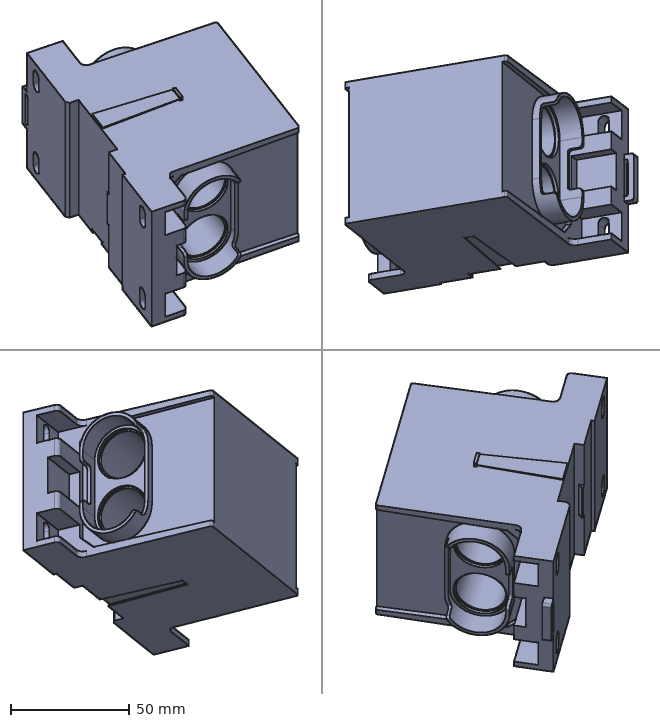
import cadquery as cq
import math


base_half_x = 56.9
base_half_z = 64.9 / 2
base_height = 17.0
base_corner_radius = 2.0

total_height = 80.5
housing_half_x_low = 38.3
housing_half_x_high = 37.8
housing_half_z_high = 32.0
housing_top_radius = 1.1
root_radius = 3.1

channel_x_left = -20.5
channel_x_right = 15.0
channel_depth = 5.5
channel_chamfer = 1.4
relief_x_right = 30.3
relief_depth = 1.4
catch_reach = 1.5
catch_top = 3.8
catch_tip = 2.1
catch_half_z = 8.9

wall_recess = 2.6
recess_half_z_high = 29.3
recess_half_z_low = 28.5
recess_corner_y = 6.7
recess_corner_half_z = 22.3

slot_x = 48.5
slot_z = 23.0
slot_width = 5.0
slot_length = 11.0
floor_thickness = 6.6
clearance_width_z = 13.0
notch_half_z = 8.4
notch_depth = 5.1

entry_y = 35.8
entry_z = 13.5
entry_offset_z = 0.2
collar_radius = 14.7
rim_radius = 13.0
entry_half_x = 46.0
collar_height = 1.0
rim_end_angle = 29
rim_end_radius = 1.4
rim_gap_half_z = 9.2
rim_gap_radius = 1.7
counterbore_radius = 11.6
counterbore_depth = 1.4
bore_radius = 10.8

screw_radius = 7.7
screw_shoulder_y = 41.4
screw_tip_y = 36.7

dovetail_x = -3.5
rib_start_y = 5.8
dovetail_end_y = 44.6
dovetail_wide_start = 9.8
dovetail_wide_end = 6.5
dovetail_undercut = 1.3
dovetail_height = 1.4
ridge_length = 1.3
ridge_height = 1.7
groove_depth = 1.5

tab_reach = 4.5
tab_half_z = 21.2 / 2
tab_thickness = 4.0
tab_radius = 1.2
tab_overlap = 0.6
tab_slot_offset = 2.8
tab_slot_width = 2.4
tab_slot_length = 16.8

wall_slope = (housing_half_x_low - housing_half_x_high) / (total_height - base_height)
collar_half_x = housing_half_x_low + collar_height
recessed_half_x = housing_half_x_low - wall_recess


def box(x0, x1, y0, y1, z0, z1):
    return cq.Workplane("XY").box(x1 - x0, y1 - y0, z1 - z0, centered=False).translate((x0, y0, z0))


def prism_z(points, half_z):
    return cq.Workplane("XY").polyline(points).close().extrude(half_z, both=True)


def both_ends(shape):
    """Return the shape together with its mirror image across the YZ plane."""
    return shape.union(shape.mirror("YZ"))


def stadium(radius, x0, x1):
    """Oval around both cable bores, extruded along X."""
    return (
        cq.Workplane("YZ", origin=(x0, entry_y, entry_offset_z))
        .slot2D(2 * (entry_z + radius), 2 * radius, 90)
        .extrude(x1 - x0)
    )


def bores(radius, half_x):
    return (
        cq.Workplane("YZ", origin=(0, entry_y, entry_offset_z))
        .pushPoints([(0, entry_z), (0, -entry_z)])
        .circle(radius)
        .extrude(half_x, both=True)
    )


def make_body():
    outline = [
        (-base_half_x, 0),
        (channel_x_left - channel_chamfer, 0),
        (channel_x_left, channel_chamfer),
        (channel_x_left, channel_depth),
        (channel_x_right, channel_depth),
        (channel_x_right, relief_depth),
        (relief_x_right, relief_depth),
        (relief_x_right, 0),
        (base_half_x, 0),
        (base_half_x, base_height),
        (housing_half_x_low, base_height),
        (housing_half_x_high, total_height),
        (-housing_half_x_high, total_height),
        (-housing_half_x_low, base_height),
        (-base_half_x, base_height),
    ]
    body = prism_z(outline, base_half_z)

    def round_edges(solid, x, y, radius):
        selector = cq.selectors.BoxSelector((x - 0.1, y - 0.1, -1.2), (x + 0.1, y + 0.1, 1.2))
        return solid.edges("|Z").edges(selector).fillet(radius)

    for side in (-1, 1):
        body = round_edges(body, side * housing_half_x_low, base_height, root_radius)
        body = round_edges(body, side * housing_half_x_high, total_height, housing_top_radius)
    body = round_edges(body, base_half_x, base_height, base_corner_radius)

    draft = (
        cq.Workplane("YZ")
        .polyline([
            (0, -base_half_z),
            (total_height, -housing_half_z_high),
            (total_height, housing_half_z_high),
            (0, base_half_z),
        ])
        .close()
        .extrude(base_half_x, both=True)
    )
    return body.intersect(draft)


def make_catch():
    tip_x = channel_x_right - catch_reach
    points = [
        (channel_x_right, relief_depth),
        (tip_x, relief_depth),
        (tip_x, catch_tip),
        (channel_x_right, catch_top),
    ]
    return prism_z(points, catch_half_z)


def make_wall_recess():
    corner_y = base_height + recess_corner_y
    outline = [
        (total_height, -recess_half_z_high),
        (corner_y, -recess_half_z_low),
        (base_height, -recess_corner_half_z),
        (base_height, recess_corner_half_z),
        (corner_y, recess_half_z_low),
        (total_height, recess_half_z_high),
    ]
    depth = base_half_x - recessed_half_x
    recess = (
        cq.Workplane("YZ", origin=(recessed_half_x, 0, 0)).polyline(outline).close().extrude(depth)
    )
    return both_ends(recess)


def make_base_cuts():
    def pocket(floor_y, center_z, half_z):
        """Open pocket whose inner face runs flush up the housing wall."""
        wall_foot_x = housing_half_x_low + wall_slope * (base_height - floor_y)
        points = [
            (wall_foot_x, floor_y),
            (base_half_x, floor_y),
            (base_half_x, total_height),
            (housing_half_x_high, total_height),
        ]
        return prism_z(points, half_z).translate((0, 0, center_z))

    cuts = pocket(base_height - notch_depth, 0, notch_half_z)
    for z in (-slot_z, slot_z):
        clearance = pocket(floor_thickness, z, clearance_width_z / 2)
        slot = (
            cq.Workplane("XZ", origin=(slot_x, 0, z))
            .slot2D(slot_length, slot_width, 90)
            .extrude(-base_height)
        )
        cuts = cuts.union(clearance).union(slot)
    return both_ends(cuts)


def make_entry_shroud():
    """Oval rim with a low collar on its upper side and a gap on its lower side."""
    collar = stadium(collar_radius, recessed_half_x, collar_half_x)
    rim = stadium(collar_radius, recessed_half_x, entry_half_x)
    hollow = stadium(rim_radius, recessed_half_x, entry_half_x)

    reach = 3 * collar_radius
    end_y = entry_y + reach * math.cos(math.radians(rim_end_angle))
    end_z = entry_z + reach * math.sin(math.radians(rim_end_angle))
    rim_zone = (
        cq.Workplane("YZ", origin=(recessed_half_x, 0, entry_offset_z))
        .polyline([
            (entry_y, entry_z),
            (end_y, end_z),
            (entry_y - reach, end_z),
            (entry_y - reach, -end_z),
            (end_y, -end_z),
            (entry_y, -entry_z),
        ])
        .close()
        .extrude(entry_half_x - recessed_half_x)
    )
    gap = box(collar_half_x, entry_half_x, 0, entry_y, -rim_gap_half_z, rim_gap_half_z)
    shroud = collar.union(rim.intersect(rim_zone).cut(gap)).cut(hollow)

    for side in (-1, 1):
        radial = cq.Vector(0, end_y - entry_y, side * (end_z - entry_z))
        shroud = shroud.edges(cq.selectors.ParallelDirSelector(radial)).fillet(rim_end_radius)
    shroud = shroud.edges("|Y").fillet(rim_gap_radius)
    return both_ends(shroud)


def make_entry_cavity():
    pocket = both_ends(stadium(rim_radius, recessed_half_x, entry_half_x))
    counterbore = bores(counterbore_radius, recessed_half_x)
    counterbore = counterbore.cut(bores(counterbore_radius, recessed_half_x - counterbore_depth))
    return pocket.union(counterbore).union(bores(bore_radius, entry_half_x))


def make_screws():
    """Pointed screws that reach from the upper bore walls into the bores."""
    top_y = entry_y + bore_radius + 1.2
    profile = [
        (0, screw_tip_y),
        (screw_radius, screw_shoulder_y),
        (screw_radius, top_y),
        (0, top_y),
    ]
    screw = cq.Workplane("XY").polyline(profile).close().revolve(360, (0, 0, 0), (0, 1, 0))
    upper = screw.translate((0, 0, entry_offset_z + entry_z))
    return upper.union(screw.translate((0, 0, entry_offset_z - entry_z)))


def make_dovetail(start_y, root_z, start_z, end_z):
    """Tapered dovetail that is narrow at root_z and widens toward start_z and end_z."""

    def section(wide, outer_z):
        half = wide / 2
        return [
            (dovetail_x - half + dovetail_undercut, root_z),
            (dovetail_x + half - dovetail_undercut, root_z),
            (dovetail_x + half, outer_z),
            (dovetail_x - half, outer_z),
        ]

    return (
        cq.Workplane("XZ", origin=(0, start_y, 0))
        .polyline(section(dovetail_wide_start, start_z))
        .close()
        .workplane(offset=start_y - dovetail_end_y)
        .polyline(section(dovetail_wide_end, end_z))
        .close()
        .loft(ruled=True)
    )


def make_rib():
    outer_z = base_half_z + dovetail_height
    lean = base_half_z - housing_half_z_high
    rib = make_dovetail(rib_start_y, housing_half_z_high - lean, outer_z, outer_z - lean)
    ridge = box(
        dovetail_x - dovetail_wide_end / 2, dovetail_x + dovetail_wide_end / 2,
        dovetail_end_y - ridge_length, dovetail_end_y,
        housing_half_z_high, base_half_z + ridge_height,
    )
    return rib.union(ridge)


def make_groove():
    floor_z = groove_depth - base_half_z
    return make_dovetail(channel_depth, -base_half_z, floor_z, floor_z)


def make_tab():
    tab = box(
        -base_half_x - tab_reach, tab_overlap - base_half_x,
        0, tab_thickness,
        -tab_half_z, tab_half_z,
    )
    return tab.edges("|Y and <X").fillet(tab_radius)


def make_tab_slot():
    center_x = -base_half_x - tab_reach + tab_slot_offset + tab_slot_width / 2
    return (
        cq.Workplane("XZ", origin=(center_x, 0, 0))
        .slot2D(tab_slot_length, tab_slot_width, 90)
        .extrude(-tab_thickness)
    )


result = (
    make_body()
    .cut(make_wall_recess())
    .cut(make_base_cuts())
    .union(make_entry_shroud())
    .cut(make_entry_cavity())
    .union(make_screws())
    .union(make_catch())
    .union(make_rib())
    .cut(make_groove())
    .union(make_tab())
    .cut(make_tab_slot())
)